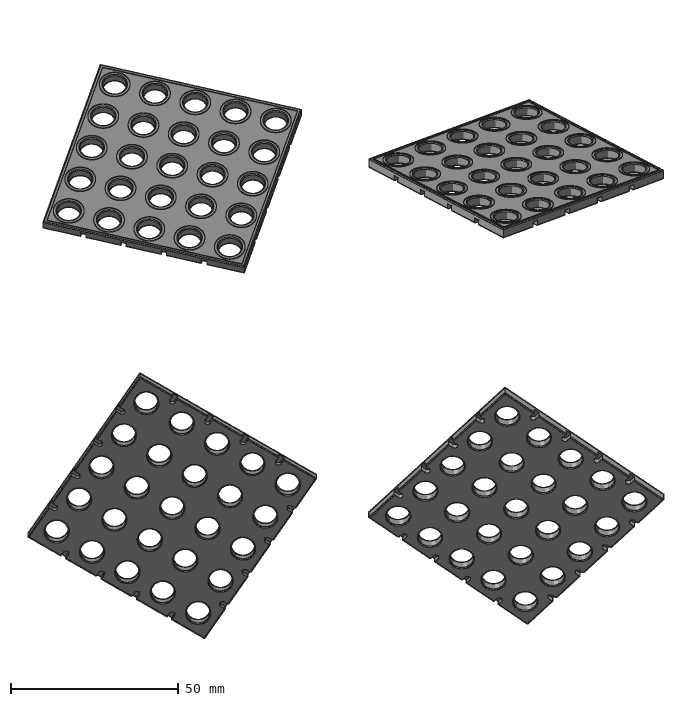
import cadquery as cq

plate_side = 62.5
plate_thickness = 3.1
edge_chamfer = 0.3

holes_per_side = 5
hole_pitch = plate_side / holes_per_side
hole_diameter = 7.0
hole_chamfer = edge_chamfer
collar_diameter = 9.2

rim_width = 1.0
recess_depth = 0.2

notch_width = 1.75
notch_depth = 2.5
notch_height = 1.75
notches_per_side = holes_per_side - 1


def make_plate():
    """Square plate with its top and bottom edges chamfered."""
    plate = cq.Workplane("XY").box(plate_side, plate_side, plate_thickness, centered=(True, True, False))
    return plate.faces("<Z or >Z").edges().chamfer(edge_chamfer)


def on_hole_grid(workplane):
    """Put a point at the centre of every hole."""
    return workplane.rarray(hole_pitch, hole_pitch, holes_per_side, holes_per_side)


def make_recess():
    """Thin square layer that goes around the collars."""
    recess_side = plate_side - 2 * rim_width
    floor = cq.Workplane("XY").workplane(offset=plate_thickness - recess_depth)
    layer = floor.rect(recess_side, recess_side).extrude(recess_depth)
    collars = on_hole_grid(floor).circle(collar_diameter / 2).extrude(recess_depth)
    return layer.cut(collars)


def make_holes():
    """Through holes that widen conically at both faces."""
    base = cq.Workplane("XY")
    radius = hole_diameter / 2
    hole = (
        cq.Workplane("XZ")
        .lineTo(radius + hole_chamfer, 0)
        .lineTo(radius, hole_chamfer)
        .lineTo(radius, plate_thickness - hole_chamfer)
        .lineTo(radius + hole_chamfer, plate_thickness)
        .lineTo(0, plate_thickness)
        .close()
        .revolve(360, (0, 0), (0, 1))
        .val()
    )
    return on_hole_grid(base).eachpoint(lambda place: hole.moved(place))


def make_notches():
    """Notches with a half-round inner end on all four sides, open at the bottom."""
    slot_length = 2 * notch_depth
    base = cq.Workplane("XY")
    front_and_back = base.rarray(hole_pitch, plate_side, notches_per_side, 2)
    left_and_right = base.rarray(plate_side, hole_pitch, 2, notches_per_side)
    along_y = front_and_back.slot2D(slot_length, notch_width, 90).extrude(notch_height)
    along_x = left_and_right.slot2D(slot_length, notch_width).extrude(notch_height)
    return along_y.union(along_x)


result = make_plate().cut(make_recess()).cut(make_holes()).cut(make_notches())